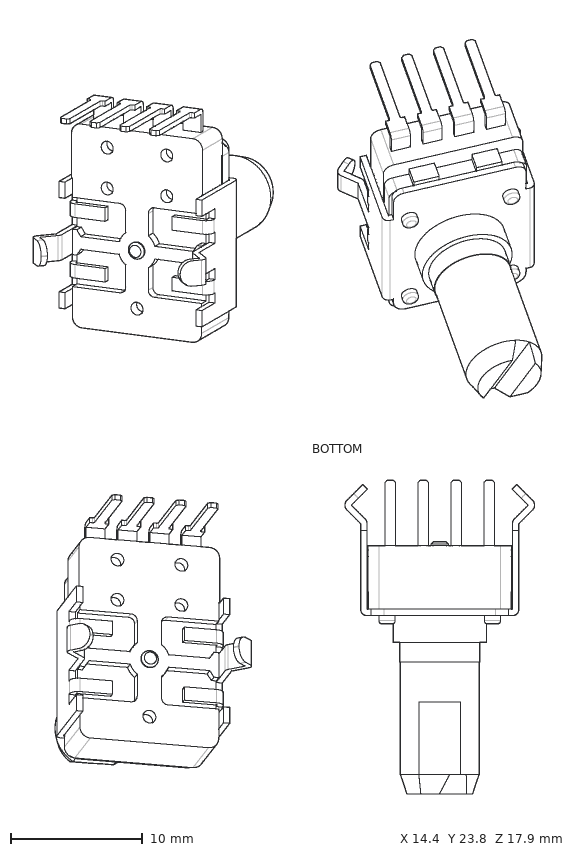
import cadquery as cq
import math


sheet = 0.5
flange_outer = 6.0
flange_half_height = 5.0
plate_half_width = 5.21
plate_top = 8.02
plate_bottom = -6.57
plate_top_radius = 0.8
plate_bottom_radius = 1.0
plate_bend_radius = 0.48
prong_end = -6.45
notch_edge = -4.15
notch_top = 3.71

body_half_width = flange_outer - sheet
lower_half_width = 5.43
body_top = 9.38
body_bottom = -6.69
body_front = -sheet
body_back = -5.3
body_radius = 0.8
step_y = -1.8
step_top = 7.78
step_radius = 0.65
rib_height = 0.65
rib_inner = 1.48
rib_outer = 3.47

hole_diameter = 1.0
hole_depth = 1.0
hole_places = [(-2.5, 7.78), (2.5, 7.78), (-2.5, 4.57), (2.5, 4.57), (0, -4.6)]
peg_radius = 0.67
peg_height = 0.3
peg_chamfer = 0.2
pocket_depth = 0.8
pocket_inner = 0.95
pocket_top = 3.52
pocket_radius = 0.5
hub_radius = 1.583
web_half_height = 0.5
web_flare_start = 4.71
web_flare_end = 5.05

tab_low = 1.85
tab_high = 2.93
tab_inner = 2.8
tab_bend_radius = 0.67

arm_half_height = 1.0
arm_bend_angle = 45
arm_bend_y = -6.97
arm_reach = 1.4
arm_lower_run = 1.57
arm_bend_radius = 0.5
arm_tip_radius = 0.98

pin_pitch = 2.5
pin_count = 4
pin_sheet = 0.4
pin_top = 11.2
pin_front = -3.1
pin_shoulder = -4.65
pin_shoulder_fillet = 0.12
pin_end = -10.28
pin_wide = 1.5
pin_narrow = 0.8
pin_tip_chamfer = 0.2

rivet_x = 4.0
rivet_z = 4.78
rivet_diameter = 1.24
rivet_height = 0.62
rivet_fillet = 0.24

bushing_radius = 3.55
bushing_end = 2.02
neck_radius = 3.05
neck_end = 3.52
shaft_radius = 3.0
shaft_end = 23.8 + pin_end
tip_length = 1.5
tip_inset = 0.5
flat_depth = 2.55
flat_start = 6.52
slot_angle = 120
slot_half_width_end = 1.05
slot_half_width_floor = 0.62


def facing_back(y):
    """Workplane at depth y whose extrusions run toward -Y, with local axes X and Z."""
    return cq.Workplane("XZ", origin=(0, y, 0))


def block(x_range, y_range, z_range):
    sizes = [high - low for low, high in (x_range, y_range, z_range)]
    corner = (x_range[0], y_range[0], z_range[0])
    return cq.Workplane("XY").box(*sizes, centered=False).translate(corner)


def both_sides(left):
    return left.union(left.mirror("YZ"))


def make_body():
    upper = block((-body_half_width, body_half_width), (body_back, step_y), (0, body_top))
    upper = upper.edges("|Y and >Z").fillet(body_radius)
    step = block((-lower_half_width, lower_half_width), (step_y, body_front), (0, step_top))
    step = step.edges("|Y and >Z").fillet(step_radius)
    rib = block((-rib_outer, -rib_inner), (step_y, body_front), (0, step_top + rib_height))
    upper = upper.union(step).union(both_sides(rib))
    upper = upper.intersect(
        block((-body_half_width, body_half_width), (body_back, body_front), (flange_half_height, body_top))
    )
    lower = block(
        (-lower_half_width, lower_half_width), (body_back, body_front), (body_bottom, flange_half_height)
    )
    lower = lower.edges("|Y and <Z").fillet(body_radius)
    return upper.union(lower)


def make_pocket():
    """Upper left pocket, bounded by the round hub and the web behind the snap-in arm."""
    hub_z = math.sqrt(hub_radius**2 - pocket_inner**2)
    hub_x = math.sqrt(hub_radius**2 - web_half_height**2)
    middle = math.atan2(hub_z + web_half_height, pocket_inner + hub_x)
    hub_middle = (-hub_radius * math.cos(middle), hub_radius * math.sin(middle))
    return (
        facing_back(body_back + pocket_depth)
        .moveTo(-body_half_width, pocket_top)
        .lineTo(-pocket_inner - pocket_radius, pocket_top)
        .radiusArc((-pocket_inner, pocket_top - pocket_radius), pocket_radius)
        .lineTo(-pocket_inner, hub_z)
        .threePointArc(hub_middle, (-hub_x, web_half_height))
        .lineTo(-web_flare_start, web_half_height)
        .lineTo(-web_flare_end, arm_half_height)
        .lineTo(-body_half_width, arm_half_height)
        .close()
        .extrude(pocket_depth)
    )


def make_plate():
    plate = block((-plate_half_width, plate_half_width), (-sheet, 0), (plate_bottom, plate_top))
    plate = plate.edges("|Y and >Z").fillet(plate_top_radius)
    plate = plate.edges("|Y and <Z").fillet(plate_bottom_radius)
    wide = block((-flange_outer, flange_outer), (-sheet, 0), (-flange_half_height, flange_half_height))
    wide = wide.edges("|Z and >Y").fillet(plate_bend_radius)
    return plate.union(wide)


def make_tab():
    """Upper left tab: leaves the notch edge, bends inward and lies on the pocket floor."""
    floor = body_back + pocket_depth
    tab = block((-flange_outer, -tab_inner), (floor - sheet, floor), (tab_low, tab_high))
    root = block((-flange_outer, sheet - flange_outer), (floor - sheet, notch_edge), (tab_low, tab_high))
    return tab.union(root).edges("|Z and <X and <Y").fillet(tab_bend_radius)


def make_arm():
    """Left snap-in arm: straight, bent out at 45 degrees, then bent back in to a round tip."""
    bend_shift = sheet * math.tan(math.radians(arm_bend_angle / 2))
    peak = (-flange_outer - arm_reach, arm_bend_y - arm_reach)
    inner_peak = (peak[0] + sheet * math.sqrt(2), peak[1])
    tip = (peak[0] + arm_lower_run, peak[1] - arm_lower_run)
    inner_tip = (tip[0] + sheet / math.sqrt(2), tip[1] + sheet / math.sqrt(2))
    inner_bend = (sheet - flange_outer, arm_bend_y - bend_shift)
    arm = (
        cq.Workplane("XY", origin=(0, 0, -arm_half_height))
        .moveTo(-flange_outer, notch_edge)
        .lineTo(-flange_outer, arm_bend_y)
        .lineTo(*peak)
        .lineTo(*tip)
        .lineTo(*inner_tip)
        .lineTo(*inner_peak)
        .lineTo(*inner_bend)
        .lineTo(sheet - flange_outer, notch_edge)
        .close()
        .extrude(2 * arm_half_height)
    )
    for bend in (peak, inner_bend):
        arm = arm.edges(cq.NearestToPointSelector((*bend, 0))).fillet(arm_bend_radius)
    tip_middle = ((tip[0] + inner_tip[0]) / 2, (tip[1] + inner_tip[1]) / 2)
    for side in (-1, 1):
        corner = cq.NearestToPointSelector((*tip_middle, side * arm_half_height))
        arm = arm.edges(corner).fillet(arm_tip_radius)
    return arm


def make_flange():
    x_range = (-flange_outer, sheet - flange_outer)
    flange = block(x_range, (notch_edge, -sheet), (-flange_half_height, flange_half_height))
    prong = block(x_range, (prong_end, notch_edge), (notch_top, flange_half_height))
    for part in (prong, make_tab()):
        flange = flange.union(part).union(part.mirror("XY"))
    return flange.union(make_arm())


def make_pin(x):
    """Pin at x: a wide bent head and a narrow leg toward -Y."""
    half_wide = pin_wide / 2
    half_narrow = pin_narrow / 2
    top = block((-half_wide, half_wide), (pin_shoulder, pin_front), (pin_top - pin_sheet, pin_top))
    post = block((-half_wide, half_wide), (pin_front - pin_sheet, pin_front), (body_top, pin_top))
    bend = top.union(post).edges("|X and >Y and >Z").fillet(pin_sheet)
    leg = block((-half_narrow, half_narrow), (pin_end, pin_shoulder), (pin_top - pin_sheet, pin_top))
    leg = leg.edges("|Z and <Y").chamfer(pin_tip_chamfer)
    pin = bend.union(leg)
    for edge_x in (-half_narrow, half_narrow):
        corner = cq.NearestToPointSelector((edge_x, pin_shoulder, pin_top - pin_sheet / 2))
        pin = pin.edges(corner).fillet(pin_shoulder_fillet)
    return pin.translate((x, 0, 0))


def make_shaft():
    cone_start = shaft_end - tip_length
    profile = [
        (0, 0),
        (bushing_radius, 0),
        (bushing_radius, bushing_end),
        (neck_radius, bushing_end),
        (neck_radius, neck_end),
        (shaft_radius, neck_end),
        (shaft_radius, cone_start),
        (shaft_radius - tip_inset, shaft_end),
        (0, shaft_end),
    ]
    shaft = cq.Workplane("XY").polyline(profile).close().revolve(360, (0, 0, 0), (0, 1, 0))
    flat = [
        (flat_start, -shaft_radius),
        (flat_start, -flat_depth),
        (cone_start, -flat_depth),
        (shaft_end, tip_inset - flat_depth),
        (shaft_end, -shaft_radius),
    ]
    shaft = shaft.cut(cq.Workplane("YZ").polyline(flat).close().extrude(shaft_radius, both=True))
    slot = [
        (-slot_half_width_floor, cone_start),
        (slot_half_width_floor, cone_start),
        (slot_half_width_end, shaft_end),
        (-slot_half_width_end, shaft_end),
    ]
    cutter = cq.Workplane("XY").polyline(slot).close().extrude(shaft_radius, both=True)
    return shaft.cut(cutter.rotate((0, 0, 0), (0, 1, 0), 90 - slot_angle))


body = make_body()
left_pockets = make_pocket().union(make_pocket().mirror("XY"))
body = body.cut(both_sides(left_pockets))
holes = facing_back(body_back + hole_depth).pushPoints(hole_places).circle(hole_diameter / 2)
body = body.cut(holes.extrude(hole_depth))
peg = facing_back(body_back).circle(peg_radius).extrude(peg_height).faces("<Y").chamfer(peg_chamfer)

rivets = facing_back(rivet_height).rect(2 * rivet_x, 2 * rivet_z, forConstruction=True).vertices()
rivets = rivets.circle(rivet_diameter / 2).extrude(rivet_height).faces(">Y").edges().fillet(rivet_fillet)

result = body.union(peg).union(make_plate()).union(both_sides(make_flange())).union(rivets).union(make_shaft())
for index in range(pin_count):
    result = result.union(make_pin((index - (pin_count - 1) / 2) * pin_pitch))